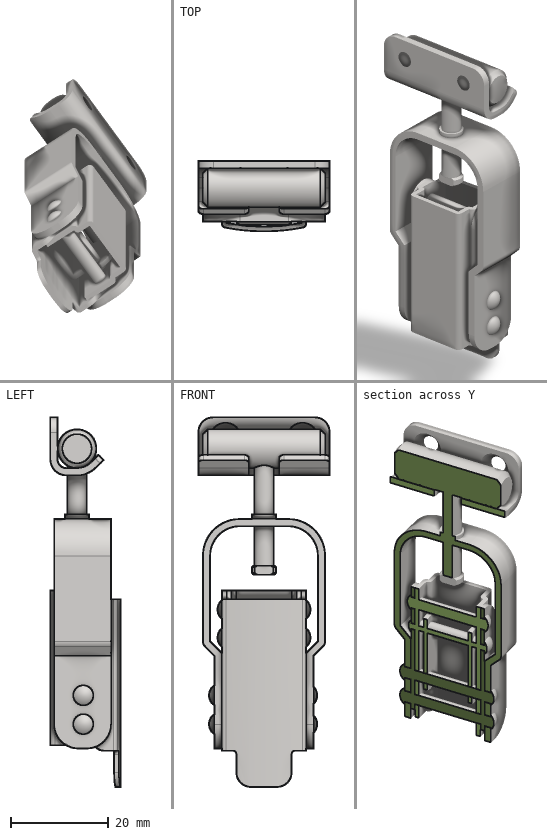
import cadquery as cq
import math

HEIGHT = 76.0
DEPTH = 14.5
HALF_HEIGHT = HEIGHT / 2
BACK_Y = DEPTH / 2
FRONT_Y = -DEPTH / 2
SPAN = HEIGHT

KEEPER_WIDTH = 27.0
KEEPER_THICKNESS = 1.5
KEEPER_CORNER_RADIUS = 3.05
KEEPER_BACK_BEND_RADIUS = 1.8
LIP_ANGLE = 45.0
LIP_LENGTH = 2.2
LIP_CORNER_RADIUS = 1.0
KEEPER_SLOT_WIDTH = 6.2
SCREW_HOLE_X = 7.9
SCREW_HOLE_Z = 33.7
SCREW_HOLE_RADIUS = 1.7
COUNTERSINK_RADIUS = SCREW_HOLE_RADIUS + KEEPER_THICKNESS

BAR_DIAMETER = 8.0
BAR_RADIUS = BAR_DIAMETER / 2
BAR_LENGTH = 25.1
BAR_CHAMFER = 1.0
BAR_Y = BACK_Y - KEEPER_THICKNESS - BAR_RADIUS
BAR_Z = 31.55
ROD_RADIUS = 2.05
COLLAR_RADIUS = 2.5
COLLAR_HEIGHT = 0.9
STOP_RADIUS = 2.5
STOP_TOP_Z = 7.5
STOP_HEIGHT = 1.9
STOP_DEPTH = 3.2
STOP_CHAMFER = 0.4

LEVER_WIDTH = 17.3
LEVER_HALF_WIDTH = LEVER_WIDTH / 2
LEVER_THICKNESS = 1.0
LEVER_EDGE_RADIUS = 0.8
LEVER_CROWN = 0.75
LEVER_TOP_Z = 0.6
LEVER_BOTTOM_Z = -30.55
LEVER_HEEL_RADIUS = 2.3
LEVER_HEEL_Y = -3.8
TAB_WIDTH = 11.4
TAB_CORNER_RADIUS = 3.05
TAB_ROOT_RADIUS = 0.7

BAIL_THICKNESS = 1.5
BAIL_TOP_Z = 17.1
BAIL_BEND_RADIUS = 7.6
BAIL_WIDTH = 25.15
BAIL_HALF_WIDTH = BAIL_WIDTH / 2
BAIL_LEG_HALF_WIDTH = LEVER_HALF_WIDTH + BAIL_THICKNESS
BAIL_JOG_Z = -8.7
BAIL_FRONT_Y = -5.25
BAIL_BACK_Y = 6.45
BAIL_BOTTOM_Z = -30.1
BAIL_END_RADIUS = 5.0

PIN_RADIUS = 1.4
PIVOT_PIN = (0.45, -1.5)
LINK_PIN = (1.2, -7.3)
BASE_PINS = (PIVOT_PIN, LINK_PIN)
LEVER_PINS = ((0.45, -19.15), (0.45, -25.1))
HEAD_SPHERE_RADIUS = 2.4
BASE_PIN_HEAD_HEIGHT = 0.9
LEVER_PIN_LEFT_HEAD_HEIGHT = 1.15
LEVER_PIN_RIGHT_HEAD_HEIGHT = 0.75

BASE_THICKNESS = 1.0
BASE_HALF_WIDTH = LEVER_HALF_WIDTH - LEVER_THICKNESS
BASE_WEB_HALF_WIDTH = BASE_HALF_WIDTH - BASE_THICKNESS
BASE_STEP_Y = 4.0
BASE_STEP_ROUND = 0.9
BASE_BOTTOM_Z = -29.4
LOBE_RADIUS = 3.95

LINK_HALF_WIDTH = BASE_WEB_HALF_WIDTH - BASE_THICKNESS
LINK_THICKNESS = 1.0
LINK_FRONT_Y = -5.9
LINK_LOBE_RADIUS = 3.05


def block(x0, x1, y0, y1, z0, z1):
    return cq.Workplane("XY", origin=(x0, y0, z0)).box(x1 - x0, y1 - y0, z1 - z0, centered=False)


def x_cylinder(radius, length, y, z):
    """Cylinder along X, centred on x = 0."""
    return cq.Workplane("YZ", origin=(-length / 2, y, z)).circle(radius).extrude(length)


def z_cylinder(radius, y, z0, z1):
    return cq.Workplane("XY", origin=(0, y, z0)).circle(radius).extrude(z1 - z0)


def pin_holes(body, pins):
    for y, z in pins:
        body = body.cut(x_cylinder(PIN_RADIUS, SPAN, y, z))
    return body


def dome_radius(height):
    """Radius of the flat side of a rivet head that stands out by height."""
    return math.sqrt(height * (2 * HEAD_SPHERE_RADIUS - height))


def domed_pin(y, z, face_x, left_head, right_head):
    """Pin along X with a spherical rivet head standing on each outer face at x = +/-face_x."""
    return (
        cq.Workplane("XY")
        .moveTo(-face_x - left_head, 0)
        .radiusArc((-face_x, dome_radius(left_head)), HEAD_SPHERE_RADIUS)
        .lineTo(-face_x, PIN_RADIUS)
        .lineTo(face_x, PIN_RADIUS)
        .lineTo(face_x, dome_radius(right_head))
        .radiusArc((face_x + right_head, 0), HEAD_SPHERE_RADIUS)
        .close()
        .revolve(360, (0, 0, 0), (1, 0, 0))
        .translate((0, y, z))
    )


def bar_point(radius, degrees_past_bottom):
    """Point in YZ at a radius from the bar axis, turned from straight down towards the front."""
    angle = math.radians(degrees_past_bottom)
    return (BAR_Y - radius * math.sin(angle), BAR_Z - radius * math.cos(angle))


def keeper_bend_point(radius, degrees_past_bottom):
    """Point in YZ on the rear bend, turned from straight down towards the back plate."""
    angle = math.radians(degrees_past_bottom)
    centre_y = BACK_Y - KEEPER_THICKNESS - KEEPER_BACK_BEND_RADIUS
    centre_z = BAR_Z - BAR_RADIUS + KEEPER_BACK_BEND_RADIUS
    return (centre_y + radius * math.sin(angle), centre_z - radius * math.cos(angle))


def hooked_plate():
    cradle_outer = BAR_RADIUS + KEEPER_THICKNESS
    bend_outer = KEEPER_BACK_BEND_RADIUS + KEEPER_THICKNESS
    lip_dy = -LIP_LENGTH * math.cos(math.radians(LIP_ANGLE))
    lip_dz = LIP_LENGTH * math.sin(math.radians(LIP_ANGLE))
    lip_inner_y, lip_inner_z = bar_point(BAR_RADIUS, LIP_ANGLE)
    return (
        cq.Workplane("YZ", origin=(-KEEPER_WIDTH / 2, 0, 0))
        .moveTo(BACK_Y, HALF_HEIGHT)
        .lineTo(*keeper_bend_point(bend_outer, 90))
        .threePointArc(keeper_bend_point(bend_outer, 45), keeper_bend_point(bend_outer, 0))
        .lineTo(*bar_point(cradle_outer, 0))
        .threePointArc(bar_point(cradle_outer, LIP_ANGLE / 2), bar_point(cradle_outer, LIP_ANGLE))
        .line(lip_dy, lip_dz)
        .lineTo(lip_inner_y + lip_dy, lip_inner_z + lip_dz)
        .lineTo(lip_inner_y, lip_inner_z)
        .threePointArc(bar_point(BAR_RADIUS, LIP_ANGLE / 2), bar_point(BAR_RADIUS, 0))
        .lineTo(*keeper_bend_point(KEEPER_BACK_BEND_RADIUS, 0))
        .threePointArc(
            keeper_bend_point(KEEPER_BACK_BEND_RADIUS, 45),
            keeper_bend_point(KEEPER_BACK_BEND_RADIUS, 90),
        )
        .lineTo(BACK_Y - KEEPER_THICKNESS, HALF_HEIGHT)
        .close()
        .extrude(KEEPER_WIDTH)
    )


def make_keeper():
    plate = hooked_plate().edges("|Y and >Z").fillet(KEEPER_CORNER_RADIUS)

    half_slot = KEEPER_SLOT_WIDTH / 2
    slot = block(-half_slot, half_slot, FRONT_Y, BAR_Y, 0, BAR_Z)
    slot = slot.union(z_cylinder(half_slot, BAR_Y, 0, BAR_Z))
    plate = plate.cut(slot)

    across_lip = cq.Vector(0, 1, 1)
    lip_corners = plate.edges(cq.selectors.ParallelDirSelector(across_lip))
    plate = lip_corners.fillet(LIP_CORNER_RADIUS)

    for x in (-SCREW_HOLE_X, SCREW_HOLE_X):
        front_centre = cq.Vector(x, BACK_Y - KEEPER_THICKNESS, SCREW_HOLE_Z)
        cone = cq.Solid.makeCone(
            COUNTERSINK_RADIUS, SCREW_HOLE_RADIUS, KEEPER_THICKNESS, front_centre, cq.Vector(0, 1, 0)
        )
        plate = plate.cut(cq.Workplane(obj=cone))
    return plate


def bail_blank(inset):
    """Solid outline of the bail, moved inwards by inset and extruded over the strap width."""
    half = BAIL_HALF_WIDTH - inset
    leg = BAIL_LEG_HALF_WIDTH - inset
    jog_z = BAIL_JOG_Z + inset * math.tan(math.radians(22.5))
    jog_end_z = jog_z - (half - leg)
    right_side = [(half, BAIL_TOP_Z - inset), (half, jog_z), (leg, jog_end_z), (leg, BAIL_BOTTOM_Z)]
    left_side = [(-x, z) for x, z in reversed(right_side)]
    blank = (
        cq.Workplane("XZ", origin=(0, BAIL_BACK_Y, 0))
        .polyline(right_side + left_side)
        .close()
        .extrude(BAIL_BACK_Y - BAIL_FRONT_Y)
    )
    return blank.edges("|Y and >Z").fillet(BAIL_BEND_RADIUS - inset)


def make_bail():
    outer = bail_blank(0).edges("|Y").edges("<X or >X").edges("<Z").fillet(BAIL_THICKNESS)
    strap = outer.cut(bail_blank(BAIL_THICKNESS))
    strap = strap.edges("|X and <Z").fillet(BAIL_END_RADIUS)
    return pin_holes(strap, LEVER_PINS)


def make_draw_bolt():
    bar = x_cylinder(BAR_RADIUS, BAR_LENGTH, BAR_Y, BAR_Z).faces("<X or >X").chamfer(BAR_CHAMFER)
    rod = z_cylinder(ROD_RADIUS, BAR_Y, STOP_TOP_Z, BAR_Z)
    collar = z_cylinder(COLLAR_RADIUS, BAR_Y, BAIL_TOP_Z, BAIL_TOP_Z + COLLAR_HEIGHT)

    stop_bottom = STOP_TOP_Z - STOP_HEIGHT
    flats = block(
        -STOP_RADIUS, STOP_RADIUS, BAR_Y - STOP_DEPTH / 2, BAR_Y + STOP_DEPTH / 2, stop_bottom, STOP_TOP_Z
    )
    disc = z_cylinder(STOP_RADIUS, BAR_Y, stop_bottom, STOP_TOP_Z).faces("<Z or >Z").chamfer(STOP_CHAMFER)
    return make_bail().union(bar).union(rod).union(collar).union(disc.intersect(flats))


def lever_section(inset):
    """Blank with the lever's crowned front and rounded long edges, moved inwards by inset."""
    half = LEVER_HALF_WIDTH - inset
    edge_radius = max(LEVER_EDGE_RADIUS - inset, 0)
    edge_x = half - edge_radius
    edge_y = FRONT_Y + inset + LEVER_CROWN
    section = cq.Workplane("XY", origin=(0, 0, -HALF_HEIGHT)).moveTo(-half, BACK_Y)
    section = section.lineTo(-half, edge_y + edge_radius)
    if edge_radius > 0:
        section = section.radiusArc((-edge_x, edge_y), -edge_radius)
    section = section.threePointArc((0, FRONT_Y + inset), (edge_x, edge_y))
    if edge_radius > 0:
        section = section.radiusArc((half, edge_y + edge_radius), -edge_radius)
    return section.lineTo(half, BACK_Y).close().extrude(SPAN)


def lever_side_outline():
    """Side outline: a lobe around the upper base pin, a straight front and a rounded heel."""
    pin_y, lobe_z = PIVOT_PIN
    back_y = pin_y + LOBE_RADIUS
    slope = math.sin(math.radians(45))
    heel_end_y = LEVER_HEEL_Y + LEVER_HEEL_RADIUS * slope
    heel_end_z = LEVER_BOTTOM_Z + LEVER_HEEL_RADIUS * (1 - slope)
    wall = (
        cq.Workplane("YZ", origin=(-SPAN / 2, 0, 0))
        .moveTo(FRONT_Y, LEVER_TOP_Z)
        .lineTo(FRONT_Y, LEVER_BOTTOM_Z)
        .lineTo(LEVER_HEEL_Y, LEVER_BOTTOM_Z)
        .radiusArc((heel_end_y, heel_end_z), -LEVER_HEEL_RADIUS)
        .lineTo(back_y, heel_end_z + back_y - heel_end_y)
        .lineTo(back_y, lobe_z)
        .lineTo(pin_y, LEVER_TOP_Z)
        .close()
        .extrude(SPAN)
    )
    return wall.union(x_cylinder(LOBE_RADIUS, SPAN, pin_y, lobe_z))


def make_lever():
    half_tab = TAB_WIDTH / 2
    tab = block(-half_tab, half_tab, FRONT_Y, BAIL_FRONT_Y, -HALF_HEIGHT, LEVER_BOTTOM_Z)
    tab = tab.edges("|Y and <Z").fillet(TAB_CORNER_RADIUS)
    sheet = lever_section(0).cut(lever_section(LEVER_THICKNESS))
    outline = lever_side_outline().union(tab)

    def is_tab_root(edge):
        centre = edge.Center()
        on_side = math.isclose(abs(centre.x), half_tab)
        return on_side and math.isclose(centre.z, LEVER_BOTTOM_Z)

    outline = outline.edges("|Y").filter(is_tab_root).fillet(TAB_ROOT_RADIUS)
    lever = sheet.intersect(outline)
    lever = pin_holes(lever, BASE_PINS)
    for y, z in LEVER_PINS:
        pin = domed_pin(y, z, BAIL_LEG_HALF_WIDTH, LEVER_PIN_LEFT_HEAD_HEIGHT, LEVER_PIN_RIGHT_HEAD_HEIGHT)
        lever = lever.union(pin)
    return lever


def base_channel():
    """Stepped channel: web at the back, walls stepping out by one sheet thickness."""
    pin_y, lobe_z = PIVOT_PIN
    top_z = lobe_z + LOBE_RADIUS
    front_y = pin_y - LOBE_RADIUS
    web = BASE_WEB_HALF_WIDTH
    t = BASE_THICKNESS
    rear = block(-web, web, front_y, BACK_Y, BASE_BOTTOM_Z, top_z).edges("|Z and >Y").fillet(t)
    ears = block(-BASE_HALF_WIDTH, BASE_HALF_WIDTH, front_y, BASE_STEP_Y, BASE_BOTTOM_Z, top_z)
    ears = ears.edges("|Z and >Y").fillet(t)
    step_front_y = BASE_STEP_Y - t
    inner_x = web - t
    narrow_gap = block(-inner_x, inner_x, front_y, BACK_Y - t, BASE_BOTTOM_Z, top_z)
    wide_gap = block(-web, web, front_y, step_front_y, BASE_BOTTOM_Z, top_z)
    channel = rear.union(ears).cut(narrow_gap.union(wide_gap))

    def is_inner_corner(edge):
        centre = edge.Center()
        return math.isclose(centre.y, step_front_y) and math.isclose(abs(centre.x), inner_x)

    corners = channel.edges("|Z").filter(is_inner_corner)
    channel = corners.fillet(BASE_STEP_ROUND)

    lobe = x_cylinder(LOBE_RADIUS, SPAN, pin_y, lobe_z)
    behind_pin = block(-BASE_HALF_WIDTH, BASE_HALF_WIDTH, pin_y, BACK_Y, BASE_BOTTOM_Z, top_z)
    below_pin = block(-BASE_HALF_WIDTH, BASE_HALF_WIDTH, front_y, pin_y, BASE_BOTTOM_Z, lobe_z)
    return channel.intersect(lobe.union(behind_pin).union(below_pin))


def base_link():
    """Channel with its web at the front, lobed around the link pin and the upper lever pin."""
    link_y, top_z = LINK_PIN
    bottom_z = LEVER_PINS[0][1]
    half = LINK_HALF_WIDTH
    t = LINK_THICKNESS
    back_y = link_y + LINK_LOBE_RADIUS
    low_z = bottom_z - LINK_LOBE_RADIUS
    high_z = top_z + LINK_LOBE_RADIUS
    channel = block(-half, half, LINK_FRONT_Y, back_y, low_z, high_z).edges("|Z and <Y").fillet(t)
    channel = channel.cut(block(-half + t, half - t, LINK_FRONT_Y + t, back_y, low_z, high_z))
    outline = block(-half, half, LINK_FRONT_Y, back_y, bottom_z, top_z)
    for z in (top_z, bottom_z):
        outline = outline.union(x_cylinder(LINK_LOBE_RADIUS, SPAN, link_y, z))
    return channel.intersect(outline)


def make_base():
    base = pin_holes(base_channel().union(base_link()), LEVER_PINS)
    for y, z in BASE_PINS:
        base = base.union(domed_pin(y, z, LEVER_HALF_WIDTH, BASE_PIN_HEAD_HEIGHT, BASE_PIN_HEAD_HEIGHT))
    return base


keeper = make_keeper()
draw_bolt = make_draw_bolt()
lever = make_lever()
base = make_base()
result = cq.Compound.makeCompound([keeper.val(), draw_bolt.val(), lever.val(), base.val()])